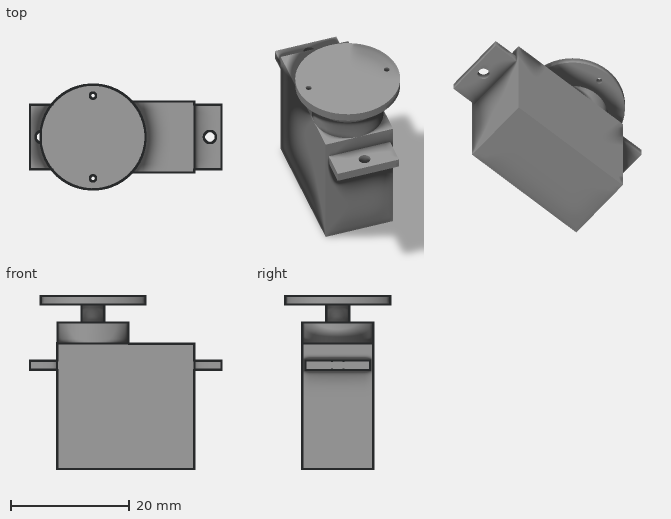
import cadquery as cq

body_length = 23.2
body_width = 12.1
body_height = 21.25

overall_length = 32.5
ear_width = 11.0
ear_thickness = 1.6
ear_bottom = 16.8
ear_hole_diameter = 2.0
ear_hole_edge_distance = 2.0

boss_diameter = body_width
boss_height = 3.6
shaft_diameter = 3.9
shaft_length = 3.0
horn_diameter = 17.8
horn_thickness = 1.5
horn_hole_diameter = 1.0
horn_hole_offset = 7.0

output_axis_x = -body_length / 2 + boss_diameter / 2
boss_top = body_height + boss_height
shaft_top = boss_top + shaft_length


def make_body():
    return cq.Workplane("XY").box(body_length, body_width, body_height, centered=(True, True, False))


def make_ears():
    """Plate running through the body, with a screw hole near each end."""
    hole_x = overall_length / 2 - ear_hole_edge_distance
    return (
        cq.Workplane("XY", origin=(0, 0, ear_bottom))
        .box(overall_length, ear_width, ear_thickness, centered=(True, True, False))
        .faces(">Z")
        .workplane()
        .pushPoints([(-hole_x, 0), (hole_x, 0)])
        .hole(ear_hole_diameter)
    )


def make_output_disc(diameter, bottom, height):
    """Upright cylinder on the output axis."""
    return cq.Workplane("XY", origin=(output_axis_x, 0, bottom)).circle(diameter / 2).extrude(height)


def make_horn():
    """Round horn with two small linkage holes on its Y diameter."""
    return (
        make_output_disc(horn_diameter, shaft_top, horn_thickness)
        .faces(">Z")
        .workplane(origin=(output_axis_x, 0, 0))
        .pushPoints([(0, -horn_hole_offset), (0, horn_hole_offset)])
        .hole(horn_hole_diameter)
    )


boss = make_output_disc(boss_diameter, body_height, boss_height)
shaft = make_output_disc(shaft_diameter, boss_top, shaft_length)

result = make_body().union(make_ears()).union(boss).union(shaft).union(make_horn())